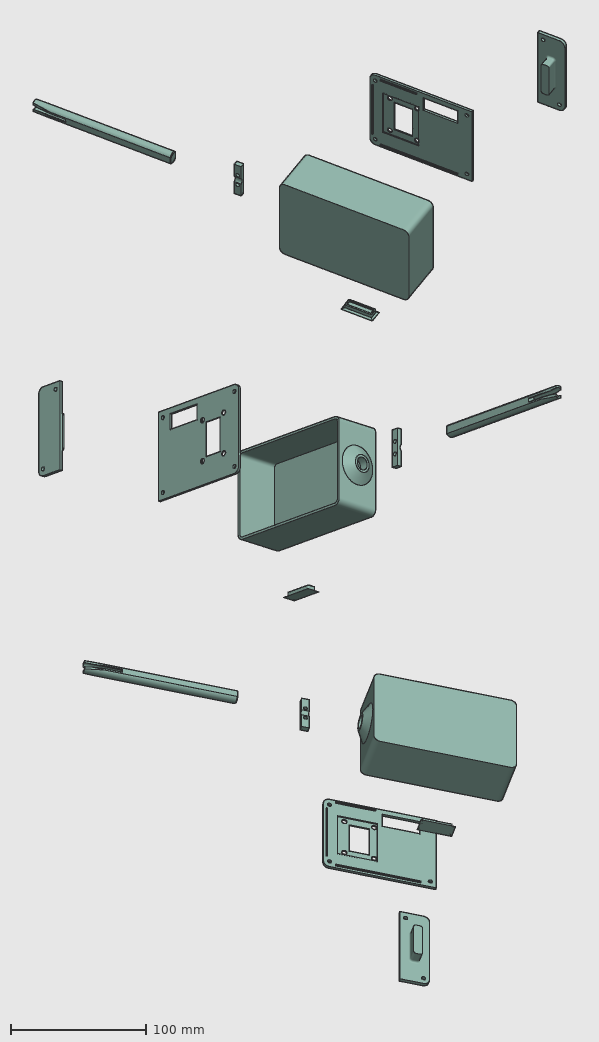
import cadquery as cq
import math

HOUSING_LENGTH = 110.0
HOUSING_DEPTH = 37.0
HOUSING_HEIGHT = 70.2
CORNER_RADIUS = 5.0
WALL = 2.0

OVERALL_LENGTH = 328.0
OVERALL_DEPTH = 239.0
OVERALL_HEIGHT = 124.0
HOUSING_X = OVERALL_LENGTH - HOUSING_LENGTH
HOUSING_Z = OVERALL_HEIGHT - HOUSING_HEIGHT
AXIS_Y = HOUSING_DEPTH / 2
AXIS_Z = HOUSING_Z + HOUSING_HEIGHT / 2

NOSE_BASE_RADIUS = 15.5
NOSE_TIP_RADIUS = 7.0
NOSE_HEIGHT = 5.2
NOSE_X = HOUSING_X - NOSE_HEIGHT

STYLUS_DIAMETER = 10.0
STYLUS_FLAT_WIDTH = 8.0
STYLUS_LENGTH = 117.8
STYLUS_END_CHAMFER = 0.5
STYLUS_TIP_WIDTH = 5.0
STYLUS_TAPER_LENGTH = 14.8
FORK_LENGTH = 28.5
FORK_GAP = 3.0
STYLUS_BORE_DIAMETER = 6.5

CLAMP_X = 168.3
CLAMP_LENGTH = 6.0
CLAMP_THICKNESS = 4.0
CLAMP_HEIGHT = 29.5
CLAMP_OFFSET = 2.0
CLAMP_GROOVE_DIAMETER = 6.5
CLAMP_HOLE_DIAMETER = 3.0
CLAMP_HOLE_SPACING = 10.0

PANEL_LENGTH = 87.0
PANEL_THICKNESS = 2.0
PANEL_BACK_Y = 139.0
SCREW_DIAMETER = 3.0
SCREW_EDGE_X = 4.5
SCREW_EDGE_Z = 5.5

RIB_WIDTH = 1.0
RIB_HEIGHT = 1.0
SIDE_RIB_LENGTH = 49.2
RIB_START = 9.2
BOTTOM_RIB_LENGTH = 65.5
TOP_RIB_LENGTH = 30.8

DISPLAY_X = 28.0
DISPLAY_RECESS_OFFSET = 1.5
DISPLAY_RECESS_LENGTH = 30.5
DISPLAY_RECESS_HEIGHT = 39.5
DISPLAY_RECESS_DEPTH = 1.0
DISPLAY_WINDOW_LENGTH = 15.5
DISPLAY_WINDOW_HEIGHT = 27.2
DISPLAY_HOLE_DIAMETER = 4.0
DISPLAY_HOLE_SPACING_X = 23.0
DISPLAY_HOLE_SPACING_Z = 32.0
PORT_X = 45.3
PORT_TOP_MARGIN = 4.5
PORT_LENGTH = 29.2
PORT_HEIGHT = 12.5

BOSS_PLATE_THICKNESS = 2.5
BOSS_LENGTH = 7.0
BOSS_HEIGHT = 29.5
BOSS_REACH = 9.2
BOSS_CORNER_RADIUS = 2.0
BOSS_BLEND_RADIUS = 1.5

BUTTON_Y = 24.3
BUTTON_BASE_LENGTH = 26.5
BUTTON_BASE_WIDTH = 10.8
BUTTON_LENGTH = 23.0
BUTTON_WIDTH = 7.0
BUTTON_BASE_HEIGHT = 1.0
BUTTON_HEIGHT = 4.0
BUTTON_CORNER_RADIUS = 1.0
BUTTON_RIM = 1.3
BUTTON_POCKET_DEPTH = 1.0


def corner_box(x, y, z, length, depth, height):
    """Box with its lowest corner at (x, y, z)."""
    return cq.Workplane("XY").box(length, depth, height, centered=False).translate((x, y, z))


def rod_x(x, length, diameter, y=AXIS_Y, z=AXIS_Z):
    """Round bar along +X starting at x."""
    return cq.Workplane("YZ", origin=(x, y, z)).circle(diameter / 2).extrude(length)


def holes_y(points, diameter, y, length):
    """Round bars along +Y starting at y, one through each (x, z) point."""
    bars = cq.Workplane("XY")
    for x, z in points:
        bar = cq.Workplane("XZ", origin=(x, y, z)).circle(diameter / 2).extrude(-length)
        bars = bars.add(bar)
    return bars.combine()


def stylus_bar(x, length):
    """Round bar along X with flats on its -Y and +Y sides."""
    flats = corner_box(
        x, AXIS_Y - STYLUS_FLAT_WIDTH / 2, AXIS_Z - STYLUS_DIAMETER / 2,
        length, STYLUS_FLAT_WIDTH, STYLUS_DIAMETER,
    )
    return rod_x(x, length, STYLUS_DIAMETER).intersect(flats)


def clamp_box(x):
    """Envelope of the clamp bar, behind the stylus axis."""
    return corner_box(
        x, AXIS_Y + CLAMP_OFFSET, AXIS_Z - CLAMP_HEIGHT / 2,
        CLAMP_LENGTH, CLAMP_THICKNESS, CLAMP_HEIGHT,
    )


def make_housing():
    """Box open on +Y, with a conical nose bored for the stylus."""
    shell = corner_box(HOUSING_X, 0, HOUSING_Z, HOUSING_LENGTH, HOUSING_DEPTH, HOUSING_HEIGHT)
    shell = shell.edges("|Y").fillet(CORNER_RADIUS)
    cavity = corner_box(
        HOUSING_X + WALL, WALL, HOUSING_Z + WALL,
        HOUSING_LENGTH - 2 * WALL, HOUSING_DEPTH - WALL, HOUSING_HEIGHT - 2 * WALL,
    )
    cavity = cavity.edges("|Y").fillet(CORNER_RADIUS - WALL)
    cone = cq.Solid.makeCone(
        NOSE_TIP_RADIUS, NOSE_BASE_RADIUS, NOSE_HEIGHT,
        cq.Vector(NOSE_X, AXIS_Y, AXIS_Z), cq.Vector(1, 0, 0),
    )
    housing = shell.cut(cavity).union(cq.Workplane(cone))
    return housing.cut(rod_x(NOSE_X, NOSE_HEIGHT + WALL, STYLUS_DIAMETER))


def make_stylus():
    """Flatted rod whose bored, forked tip narrows towards -X."""
    bar = stylus_bar(0, STYLUS_LENGTH).faces(">X").chamfer(STYLUS_END_CHAMFER)
    half_width = STYLUS_FLAT_WIDTH / 2
    half_tip = STYLUS_TIP_WIDTH / 2
    tapered = (
        cq.Workplane("XY", origin=(0, AXIS_Y, AXIS_Z))
        .polyline([
            (0, -half_tip), (STYLUS_TAPER_LENGTH, -half_width), (STYLUS_LENGTH, -half_width),
            (STYLUS_LENGTH, half_width), (STYLUS_TAPER_LENGTH, half_width), (0, half_tip),
        ])
        .close()
        .extrude(STYLUS_DIAMETER / 2, both=True)
    )
    gap = corner_box(
        0, AXIS_Y - STYLUS_DIAMETER / 2, AXIS_Z - FORK_GAP / 2, FORK_LENGTH, STYLUS_DIAMETER, FORK_GAP
    )
    bore = rod_x(0, FORK_LENGTH, STYLUS_BORE_DIAMETER)
    return bar.intersect(tapered).cut(gap).cut(bore)


def make_clamp():
    """Bar with a groove around the stylus axis and two screw holes."""
    center_x = CLAMP_X + CLAMP_LENGTH / 2
    points = [(center_x, AXIS_Z + side * CLAMP_HOLE_SPACING / 2) for side in (-1, 1)]
    clamp = clamp_box(CLAMP_X).cut(rod_x(CLAMP_X, CLAMP_LENGTH, CLAMP_GROOVE_DIAMETER))
    return clamp.cut(holes_y(points, CLAMP_HOLE_DIAMETER, AXIS_Y, HOUSING_DEPTH))


def make_panel():
    """Cover plate with ribs, a recessed display window and a port opening."""
    front_y = PANEL_BACK_Y - PANEL_THICKNESS
    rib_y = front_y - RIB_HEIGHT
    plate = corner_box(HOUSING_X, front_y, HOUSING_Z, PANEL_LENGTH, PANEL_THICKNESS, HOUSING_HEIGHT)
    plate = plate.edges("|Y and <X").fillet(CORNER_RADIUS)

    rib_x = HOUSING_X + RIB_START
    top_rib_z = OVERALL_HEIGHT - WALL - RIB_WIDTH
    side_rib = corner_box(
        HOUSING_X + WALL, rib_y, AXIS_Z - SIDE_RIB_LENGTH / 2, RIB_WIDTH, RIB_HEIGHT, SIDE_RIB_LENGTH
    )
    bottom_rib = corner_box(rib_x, rib_y, HOUSING_Z + WALL, BOTTOM_RIB_LENGTH, RIB_HEIGHT, RIB_WIDTH)
    top_rib = corner_box(rib_x, rib_y, top_rib_z, TOP_RIB_LENGTH, RIB_HEIGHT, RIB_WIDTH)
    panel = plate.union(side_rib).union(bottom_rib).union(top_rib)

    display_x = HOUSING_X + DISPLAY_X
    recess = cq.Workplane("XY").box(
        DISPLAY_RECESS_LENGTH, 2 * DISPLAY_RECESS_DEPTH, DISPLAY_RECESS_HEIGHT
    ).translate((-DISPLAY_RECESS_OFFSET, 0, 0))
    window = cq.Workplane("XY").box(
        DISPLAY_WINDOW_LENGTH, 2 * PANEL_THICKNESS, DISPLAY_WINDOW_HEIGHT
    )
    panel = panel.cut(recess.union(window).translate((display_x, front_y, AXIS_Z)))
    port_z = OVERALL_HEIGHT - PORT_TOP_MARGIN - PORT_HEIGHT
    panel = panel.cut(
        corner_box(HOUSING_X + PORT_X, front_y, port_z, PORT_LENGTH, PANEL_THICKNESS, PORT_HEIGHT)
    )

    screw_x = (HOUSING_X + SCREW_EDGE_X, HOUSING_X + PANEL_LENGTH - SCREW_EDGE_X)
    screw_z = (HOUSING_Z + SCREW_EDGE_Z, OVERALL_HEIGHT - SCREW_EDGE_Z)
    screws = [(x, z) for x in screw_x for z in screw_z]
    display_holes = [
        (display_x + i * DISPLAY_HOLE_SPACING_X / 2, AXIS_Z + j * DISPLAY_HOLE_SPACING_Z / 2)
        for i in (-1, 1)
        for j in (-1, 1)
    ]
    panel = panel.cut(holes_y(screws, SCREW_DIAMETER, front_y, PANEL_THICKNESS))
    return panel.cut(holes_y(display_holes, DISPLAY_HOLE_DIAMETER, front_y, PANEL_THICKNESS))


def make_boss_plate():
    """Narrow cover plate with a rounded boss blended into its inner face."""
    front_y = OVERALL_DEPTH - BOSS_PLATE_THICKNESS
    plate_x = HOUSING_X + PANEL_LENGTH
    length = OVERALL_LENGTH - plate_x
    plate = corner_box(plate_x, front_y, HOUSING_Z, length, BOSS_PLATE_THICKNESS, HOUSING_HEIGHT)
    plate = plate.edges("|Y and >X").fillet(CORNER_RADIUS)
    boss_x = plate_x + length / 2
    boss = corner_box(
        boss_x - BOSS_LENGTH / 2, front_y - BOSS_REACH, AXIS_Z - BOSS_HEIGHT / 2,
        BOSS_LENGTH, BOSS_REACH, BOSS_HEIGHT,
    )
    boss = boss.edges("|Y").fillet(BOSS_CORNER_RADIUS)
    plate = plate.union(boss)
    blend_zone = cq.selectors.BoxSelector(
        (boss_x - BOSS_LENGTH, front_y - BOSS_BLEND_RADIUS / 2, AXIS_Z - BOSS_HEIGHT),
        (boss_x + BOSS_LENGTH, front_y + BOSS_BLEND_RADIUS / 2, AXIS_Z + BOSS_HEIGHT),
    )
    plate = plate.edges(blend_zone).fillet(BOSS_BLEND_RADIUS)
    screws = [
        (plate_x + SCREW_EDGE_X, OVERALL_HEIGHT - SCREW_EDGE_Z),
        (OVERALL_LENGTH - SCREW_EDGE_X, HOUSING_Z + SCREW_EDGE_Z),
    ]
    return plate.cut(holes_y(screws, SCREW_DIAMETER, front_y, BOSS_PLATE_THICKNESS))


def make_button():
    """Button with a flared base and a shallow pocket in its top."""
    center_x = HOUSING_X + HOUSING_LENGTH / 2
    flare_width = (BUTTON_BASE_WIDTH - BUTTON_WIDTH) / 2
    flare = math.degrees(math.atan2(flare_width, BUTTON_BASE_HEIGHT))
    base = (
        cq.Workplane("XY", origin=(center_x, BUTTON_Y, 0))
        .rect(BUTTON_BASE_LENGTH, BUTTON_BASE_WIDTH)
        .extrude(BUTTON_BASE_HEIGHT, taper=flare)
    )
    body = (
        cq.Workplane("XY", origin=(center_x, BUTTON_Y, 0))
        .rect(BUTTON_LENGTH, BUTTON_WIDTH)
        .extrude(BUTTON_HEIGHT)
        .edges("|Z")
        .fillet(BUTTON_CORNER_RADIUS)
    )
    pocket = (
        cq.Workplane("XY", origin=(center_x, BUTTON_Y, BUTTON_HEIGHT))
        .rect(BUTTON_LENGTH - 2 * BUTTON_RIM, BUTTON_WIDTH - 2 * BUTTON_RIM)
        .extrude(-BUTTON_POCKET_DEPTH)
    )
    return base.union(body).cut(pocket)


housing = make_housing()
stylus = make_stylus()
clamp = make_clamp()
panel = make_panel()
boss_plate = make_boss_plate()
button = make_button()

result = cq.Compound.makeCompound([
    housing.val(), stylus.val(), clamp.val(), panel.val(), boss_plate.val(), button.val(),
])